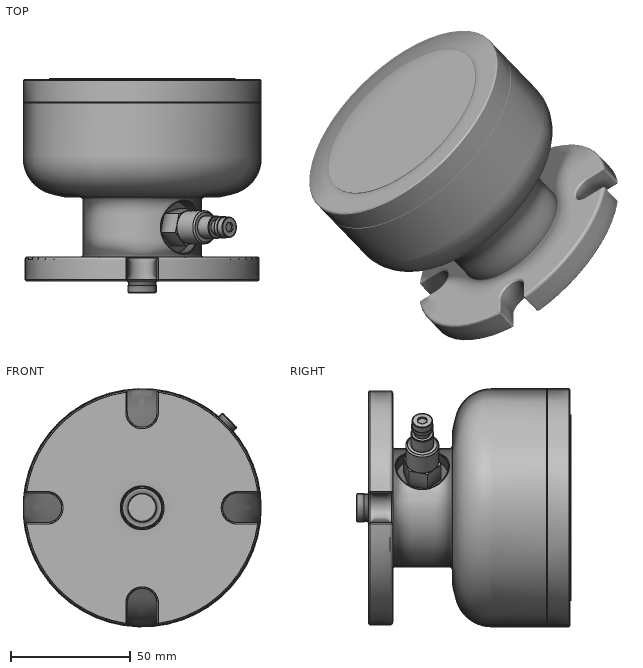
import cadquery as cq
import math

body_radius = 50.0
pad_radius = 39.0
pad_height = 0.4
lid_depth = 10.0
joint_width = 0.4
joint_cut = 0.3
lid_edge = 0.5
bowl_end = 49.8
bowl_round = 15.5
bowl_slope = 14.0
bowl_cone_radius = 34.3
bowl_flat_radius = 30.1
neck_radius = 24.9
neck_bowl_fillet = 1.1
neck_flange_fillet = 0.6
flange_start = 74.8
flange_end = 85.0
flange_radius = 49.6
flange_back_fillet = 1.2
flange_edge = 0.6

slot_count = 4
slot_width = 12.5
slot_bottom = 33.8
slot_round = slot_width / 2

bushing_groove_outer = 9.2
bushing_groove_inner = 8.2
pin_radius = 12.0 / 2
pin_base_radius = 11.5 / 2
pin_base_fillet = 0.75
pin_head_start = 86.8
pin_end = 90.0
pin_end_radius = 10.3 / 2

fitting_angle = 45.0
fitting_depth = 62.4
pocket_radius = 11.0
pocket_edge = 0.4
pocket_floor = 18.8
hex_flats = 14.0
hex_sides = 6
hex_turn = -14.5
hex_end = 27.6
shoulder_radius = 13.9 / 2
shoulder_end = 37.0
shoulder_chamfer = 0.7
stem_radius = 9.6 / 2
stem_end = 44.2
stem_chamfer = 0.3
waist_radius = 6.6 / 2
ridge_taper = 0.6
ridge_start = 47.3
ridge_end = 48.9
ridge_radius = 9.0 / 2
tip_radius = 8.5 / 2
tip_chamfer = 0.2
fitting_tip = 51.9
bore_radius = 4.1 / 2
bore_depth = 0.9


def revolve_outline(outline):
    """Revolve an outline of (radius, Y) points about the Y axis."""
    return outline.close().revolve(360, (0, 0, 0), (0, 1, 0))


def make_body():
    """Lid, bowl and neck as one revolved solid, reaching to the flange."""
    half_joint = joint_width / 2
    slope = math.radians(bowl_slope)

    inner_drop = (bowl_cone_radius - bowl_flat_radius) * math.tan(slope / 2)
    cone_end = bowl_end - inner_drop
    inner_round = (bowl_cone_radius - bowl_flat_radius) / math.sin(slope)
    round_center = body_radius - bowl_round
    cone_start_radius = round_center + bowl_round * math.sin(slope)
    cone_start = cone_end - (cone_start_radius - bowl_cone_radius) * math.tan(slope)
    bowl_straight_end = cone_start - bowl_round * math.cos(slope)

    outline = (
        cq.Workplane("XY")
        .moveTo(0, 0)
        .lineTo(pad_radius, 0)
        .lineTo(pad_radius, -pad_height)
        .lineTo(body_radius - lid_edge, -pad_height)
        .lineTo(body_radius, -(pad_height + lid_edge))
        .lineTo(body_radius, -(lid_depth - half_joint))
        .lineTo(body_radius - joint_cut, -(lid_depth - half_joint))
        .lineTo(body_radius - joint_cut, -(lid_depth + half_joint))
        .lineTo(body_radius, -(lid_depth + half_joint))
        .lineTo(body_radius, -bowl_straight_end)
        .radiusArc((cone_start_radius, -cone_start), bowl_round)
        .lineTo(bowl_cone_radius, -cone_end)
        .radiusArc((bowl_flat_radius, -bowl_end), inner_round)
        .lineTo(neck_radius + neck_bowl_fillet, -bowl_end)
        .radiusArc((neck_radius, -(bowl_end + neck_bowl_fillet)), -neck_bowl_fillet)
        .lineTo(neck_radius, -(flange_start - neck_flange_fillet))
        .radiusArc((neck_radius + neck_flange_fillet, -flange_start), -neck_flange_fillet)
        .lineTo(0, -flange_start)
    )
    return revolve_outline(outline)


def make_flange():
    """Round flange with four round-ended open slots and broken edges."""
    thickness = flange_end - flange_start
    back_plane = cq.Workplane("XZ", origin=(0, -flange_start, 0))
    flange = back_plane.circle(flange_radius).extrude(thickness)
    slot_center = slot_bottom + slot_round
    slot_reach = flange_radius
    slot = (
        back_plane.center(slot_center, 0)
        .circle(slot_round)
        .extrude(thickness)
        .union(
            back_plane.center(slot_center + slot_reach / 2, 0)
            .rect(slot_reach, slot_width)
            .extrude(thickness)
        )
    )
    for index in range(slot_count):
        flange = flange.cut(slot.rotate((0, 0, 0), (0, 1, 0), index * 360 / slot_count))

    back_rim = cq.selectors.RadiusNthSelector(-1)
    all_edges = flange.edges()
    outer_back_edges = flange.faces(">Y").edges(back_rim)
    return (
        flange
        .newObject([edge for edge in all_edges.vals() if edge not in outer_back_edges.vals()])
        .chamfer(flange_edge)
        .faces(">Y").edges(back_rim)
        .fillet(flange_back_fillet)
    )


def make_bushing_groove():
    """V-shaped ring groove that outlines the bushing in the flange face."""
    groove_depth = (bushing_groove_outer - bushing_groove_inner) / 2
    outline = (
        cq.Workplane("XY")
        .moveTo(bushing_groove_inner, -flange_end)
        .lineTo(bushing_groove_outer, -flange_end)
        .lineTo(bushing_groove_inner + groove_depth, -(flange_end - groove_depth))
    )
    return revolve_outline(outline)


def make_pin():
    """Locking pin with a filleted base and a rounded head."""
    head_round = pin_radius - pin_end_radius
    outline = (
        cq.Workplane("XY")
        .moveTo(0, -flange_start)
        .lineTo(pin_base_radius + pin_base_fillet, -flange_start)
        .lineTo(pin_base_radius + pin_base_fillet, -flange_end)
        .radiusArc((pin_base_radius, -(flange_end + pin_base_fillet)), -pin_base_fillet)
        .lineTo(pin_base_radius, -pin_head_start)
        .lineTo(pin_radius, -pin_head_start)
        .lineTo(pin_radius, -(pin_end - head_round))
        .radiusArc((pin_end_radius, -pin_end), head_round)
        .lineTo(0, -pin_end)
    )
    return revolve_outline(outline)


def place_on_fitting_axis(shape):
    """Turn a shape built along +X to the fitting direction."""
    return shape.rotate((0, 0, 0), (0, 1, 0), -fitting_angle).translate((0, -fitting_depth, 0))


def make_pocket():
    """Round pocket in the neck, around the foot of the fitting."""
    return (
        cq.Workplane("YZ", origin=(pocket_floor, 0, 0))
        .circle(pocket_radius)
        .extrude(neck_radius)
    )


def make_fitting():
    """Hexagon, shoulder, stem and ridged tip with a shallow bore."""
    hexagon = (
        cq.Workplane("YZ")
        .polygon(hex_sides, hex_flats / math.cos(math.pi / hex_sides))
        .extrude(hex_end)
        .rotate((0, 0, 0), (1, 0, 0), hex_turn)
    )
    turned = (
        cq.Workplane("XY")
        .moveTo(0, 0)
        .lineTo(0, shoulder_radius)
        .lineTo(shoulder_end, shoulder_radius)
        .lineTo(shoulder_end + shoulder_chamfer, shoulder_radius - shoulder_chamfer)
        .lineTo(shoulder_end + shoulder_chamfer, stem_radius)
        .lineTo(stem_end - stem_chamfer, stem_radius)
        .lineTo(stem_end, stem_radius - stem_chamfer)
        .lineTo(stem_end, waist_radius)
        .lineTo(ridge_start - ridge_taper, waist_radius)
        .lineTo(ridge_start, ridge_radius)
        .lineTo(ridge_end, ridge_radius)
        .lineTo(ridge_end, tip_radius)
        .lineTo(fitting_tip - tip_chamfer, tip_radius)
        .lineTo(fitting_tip, tip_radius - tip_chamfer)
        .lineTo(fitting_tip, 0)
        .close()
        .revolve(360, (0, 0, 0), (1, 0, 0))
    )
    bore = (
        cq.Workplane("YZ", origin=(fitting_tip, 0, 0))
        .circle(bore_radius)
        .extrude(-bore_depth)
    )
    return hexagon.union(turned).cut(bore)


pocketed_body = (
    make_body()
    .cut(place_on_fitting_axis(make_pocket()))
    .edges("%BSPLINE")
    .chamfer(pocket_edge)
)
result = (
    pocketed_body
    .union(place_on_fitting_axis(make_fitting()))
    .union(make_flange())
    .cut(make_bushing_groove())
    .union(make_pin())
)